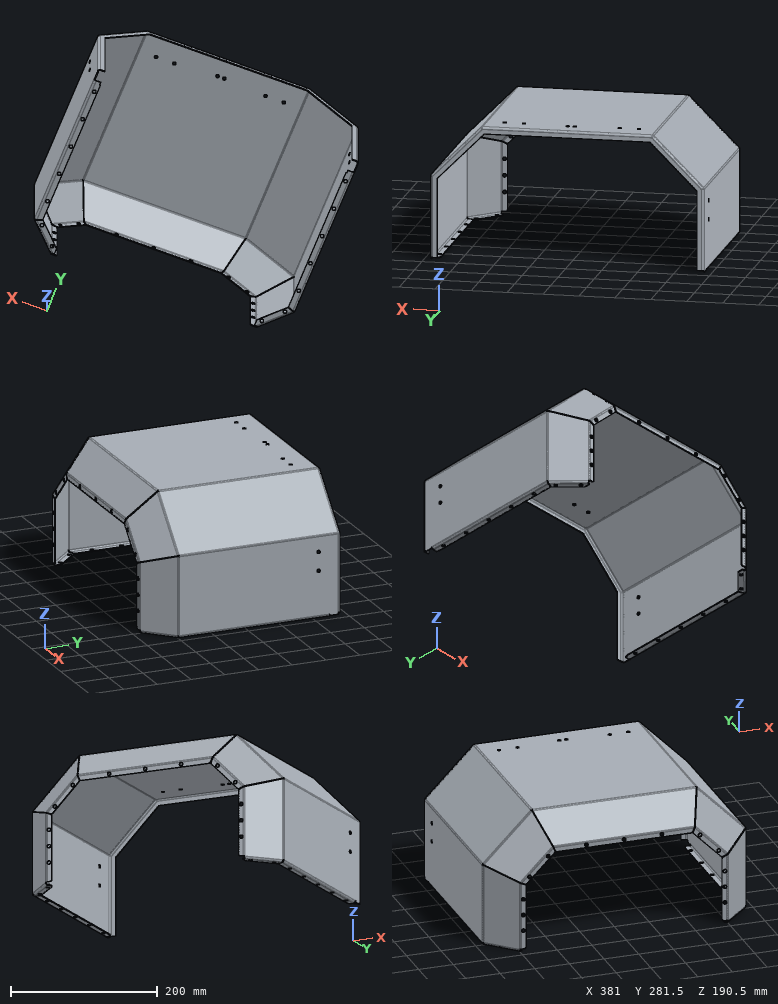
import cadquery as cq
import math

width = 381.0
depth = 281.5
height = 190.5
shoulder_drop = 71.2
front_taper = 40.8
sheet = 1.5
bend_radius = 3.5

front_flange_inset = 49.0
side_lip_width = 11.0
back_lip_width = 10.0
upright_flange_end = 4.2
bottom_lip_front_inset = 44.2
bottom_lip_back_gap = 16.5
flange_corner_radius = 3.0
seam_gap = 0.8

panel_hole_diameter = 4.5
flange_hole_diameter = 5.0
flange_hole_inset = 45.0
panel_hole_back_distance = 32.8
centre_hole_back_distance = 29.0
centre_hole_offset = 5.0
top_hole_offsets = (66.5, 93.5)
side_hole_heights = (68.5, 95.5)
top_flange_hole_pitch = 54.5
side_flange_hole_heights = (31.2, 54.5, 77.7)
shoulder_flange_hole_offset = 19.0
bottom_hole_pitch = 44.0
bottom_hole_count = 5
bottom_hole_inset = 7.0
slanted_lip_hole_offsets = (11.5, 45.7)

half_width = width / 2
fold_y = front_taper
overlap = 4.0
tolerance = 0.01
half_fold_angle = 22.5


def shoulder_sum(inset):
    """Value of x + z all along the right shoulder, moved inward by inset."""
    return half_width + height - shoulder_drop - inset * math.sqrt(2)


def fold_position(inset):
    """Y of the fold behind the front panels, moved inward by inset."""
    return fold_y + inset * math.tan(math.radians(half_fold_angle))


def arch_points(inset, bottom):
    """Arch outline with its walls, shoulders and top moved inward by inset."""
    wall_x = half_width - inset
    top_z = height - inset
    shoulder_x = shoulder_sum(inset) - top_z
    shoulder_z = shoulder_sum(inset) - wall_x
    return [
        (-wall_x, bottom),
        (-wall_x, shoulder_z),
        (-shoulder_x, top_z),
        (shoulder_x, top_z),
        (wall_x, shoulder_z),
        (wall_x, bottom),
    ]


def arch_prism(inset, bottom, y_start, y_end):
    """Arch outline extruded from y_start to y_end."""
    outline = cq.Workplane("XZ", origin=(0, y_start, 0)).polyline(arch_points(inset, bottom)).close()
    return outline.extrude(y_start - y_end)


def is_bend(edge):
    """True for every edge but the sloping seams between neighbouring front panels."""
    direction = edge.tangentAt(0)
    return abs(direction.y * direction.z) < tolerance


def envelope(inset):
    """Closed hood volume with all faces moved inward by inset and all bends rounded."""
    fold = fold_position(inset)
    front_inset = front_taper - inset + inset * math.sqrt(2)
    straight = arch_prism(inset, inset, fold, depth - inset)
    tapered = (
        cq.Workplane("XZ", origin=(0, fold, 0))
        .polyline(arch_points(inset, inset))
        .close()
        .workplane(offset=fold - inset)
        .polyline(arch_points(front_inset, inset))
        .close()
        .loft(ruled=True)
    )
    hood = straight.union(tapered).clean()
    return hood.edges().filter(is_bend).fillet(bend_radius - inset)


def box_between(low, high):
    """Axis-aligned box between two opposite corners."""
    size = [b - a for a, b in zip(low, high)]
    return cq.Workplane("XY").box(*size, centered=False).translate(low)


def bottom_opening():
    """Opening inside the bottom lips, following the walls and the front panels."""
    wall_x = half_width - side_lip_width
    fold = fold_position(side_lip_width)
    front_x = wall_x - fold
    outline = [(-front_x, 0), (-wall_x, fold), (-wall_x, depth - sheet),
               (wall_x, depth - sheet), (wall_x, fold), (front_x, 0)]
    return cq.Workplane("XY").polyline(outline).close().extrude(bend_radius)


def bottom_end_cutter():
    """Space that ends the front and back flanges and both ends of the bottom lips."""
    front_reach = half_width - bottom_lip_front_inset
    lip_fronts = box_between(
        (-front_reach, -overlap, -overlap), (front_reach, fold_y / 2, upright_flange_end)
    )
    lip_backs = box_between(
        (-width, depth - bottom_lip_back_gap, -overlap), (width, depth + overlap, bend_radius)
    )
    wall_x = half_width - sheet
    back_lip_ends = box_between(
        (-wall_x, depth - bottom_lip_back_gap, -overlap), (wall_x, depth + overlap, upright_flange_end)
    )
    flange_x = half_width - fold_y
    flange_ends = box_between((-flange_x, -overlap, -overlap), (flange_x, bend_radius, upright_flange_end))
    return lip_fronts.union(flange_ends).union(lip_backs).union(back_lip_ends)


def wall_tab(side):
    """Flat wall that runs on below the missing rear end of a bottom lip."""
    wall_x = half_width - sheet
    x_low, x_high = sorted((side * wall_x, side * half_width))
    return box_between(
        (x_low, depth - bottom_lip_back_gap, sheet),
        (x_high, depth - bend_radius, upright_flange_end),
    )


def seam_cutter():
    """Slots along the mitre lines between neighbouring front panels and their flanges."""
    outer = arch_points(0, 0)[1:5]
    inner = arch_points(front_flange_inset, 0)[1:5]
    cutter = cq.Workplane("XY")
    for (x_out, z_out), (x_in, z_in) in zip(outer, inner):
        length = math.hypot(x_in - x_out, z_in - z_out)
        angle = math.degrees(math.atan2(z_in - z_out, x_in - x_out))
        slot = box_between((0, -overlap, -seam_gap / 2), (length + overlap, fold_y, seam_gap / 2))
        cutter.add(slot.rotate((0, 0, 0), (0, 1, 0), -angle).translate((x_out, 0, z_out)))
    return cutter.combine()


def lip_seam_cutter(side):
    """Slot along the mitre between a straight bottom lip and the slanted one in front of it."""
    slot = box_between((0, -seam_gap / 2, -overlap), (2 * side_lip_width, seam_gap / 2, bend_radius))
    mitre_angle = 90 + side * (90 - half_fold_angle)
    return slot.rotate((0, 0, 0), (0, 0, 1), mitre_angle).translate((side * half_width, fold_y, 0))


def is_flange_corner(edge):
    """True for the short edges at the free corners of the front flanges."""
    spot = edge.Center()
    inner_wall = half_width - front_flange_inset
    clearances = (
        inner_wall - abs(spot.x),
        height - front_flange_inset - spot.z,
        (shoulder_sum(front_flange_inset) - abs(spot.x) - spot.z) / math.sqrt(2),
    )
    return spot.y < sheet and abs(min(clearances)) < tolerance


def drill(part, diameter, centres, direction, length):
    """Cut a hole that starts at each centre and runs along direction."""
    for centre in centres:
        hole = cq.Solid.makeCylinder(diameter / 2, length, cq.Vector(*centre), cq.Vector(*direction))
        part = part.cut(cq.Workplane(hole))
    return part


def panel_holes(part):
    """Holes near the back of the top panel and through both side walls."""
    top = [(side * x, depth - panel_hole_back_distance, height - fold_y)
           for x in top_hole_offsets for side in (-1, 1)]
    top += [(side * centre_hole_offset, depth - centre_hole_back_distance, height - fold_y)
            for side in (-1, 1)]
    part = drill(part, panel_hole_diameter, top, (0, 0, 1), height)
    sides = [(-width, depth - panel_hole_back_distance, z) for z in side_hole_heights]
    return drill(part, panel_hole_diameter, sides, (1, 0, 0), 2 * width)


def front_flange_holes(part):
    """One row of holes along each stretch of the front flange."""
    row = arch_points(flange_hole_inset, 0)
    top_z = height - flange_hole_inset
    wall_x = half_width - flange_hole_inset
    shoulder_x = (row[1][0] + row[2][0]) / 2
    shoulder_z = (row[1][1] + row[2][1]) / 2
    step = shoulder_flange_hole_offset / math.sqrt(2)
    spots = [(i * top_flange_hole_pitch, top_z) for i in (-1, 0, 1)]
    for side in (-1, 1):
        spots += [(side * wall_x, z) for z in side_flange_hole_heights]
        spots += [(side * (shoulder_x + i * step), shoulder_z + i * step) for i in (-1, 1)]
    centres = [(x, -overlap, z) for x, z in spots]
    return drill(part, flange_hole_diameter, centres, (0, 1, 0), fold_y / 2)


def bottom_lip_holes(part):
    """Evenly spaced holes along the straight bottom lips, and a pair in each slanted front lip."""
    middle_y = (fold_y + depth) / 2
    spots = []
    for side in (-1, 1):
        for i in range(bottom_hole_count):
            y = middle_y + (i - (bottom_hole_count - 1) / 2) * bottom_hole_pitch
            spots.append((side * (half_width - bottom_hole_inset), y))
        for along in slanted_lip_hole_offsets:
            x = half_width - (along + bottom_hole_inset) / math.sqrt(2)
            y = fold_y - (along - bottom_hole_inset) / math.sqrt(2)
            spots.append((side * x, y))
    centres = [(x, y, -overlap) for x, y in spots]
    return drill(part, flange_hole_diameter, centres, (0, 0, 1), fold_y / 2)


shell = envelope(0).cut(envelope(sheet))
shell = shell.cut(arch_prism(front_flange_inset, -overlap, -overlap, fold_y / 2))
shell = shell.cut(arch_prism(back_lip_width, -overlap, depth - fold_y / 2, depth + overlap))
shell = shell.cut(bottom_opening())
shell = shell.cut(bottom_end_cutter())
for side in (-1, 1):
    shell = shell.union(wall_tab(side))

shell = shell.cut(seam_cutter())
for side in (-1, 1):
    shell = shell.cut(lip_seam_cutter(side))
shell = shell.edges("|Y").filter(is_flange_corner).fillet(flange_corner_radius)
shell = panel_holes(shell)
shell = front_flange_holes(shell)
result = bottom_lip_holes(shell)